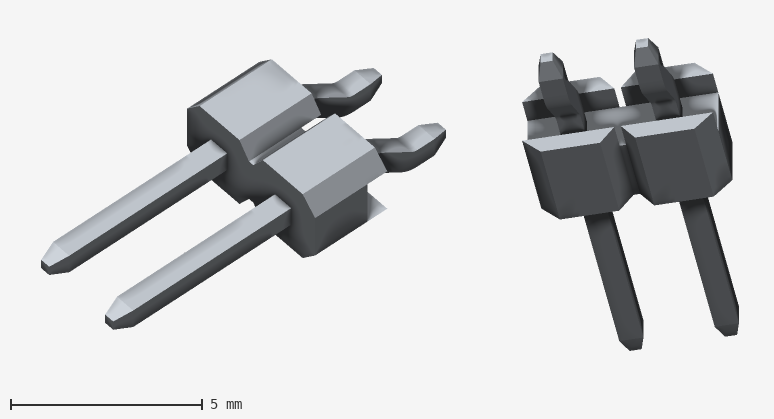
import cadquery as cq
import math

pin_count = 2
pitch = 2.54
body_width = pin_count * pitch
body_depth = 2.5
body_height = 2.5
corner_width = 0.5
flange_height = 0.52
notch_top_width = 0.93
notch_floor_width = 0.17

slot_depth = 0.69
slot_height = body_height - 2 * flange_height

pin_size = 0.64
tip_size = 0.32
front_tip_y = -6.01
front_tip_length = 0.55
pin_length = 11.5
rear_tip_y = front_tip_y + pin_length
rear_tip_length = 0.53
foot_drop = (body_height - pin_size) / 2
bend_start_y = 2.63
bend_radius = 0.65
bend_angle = math.radians(35)


def notch(x, side):
    """Trapezoidal groove between pins, at the top (side = 1) or bottom (side = -1)."""
    edge_z = side * body_height / 2
    floor_z = edge_z - side * flange_height
    return (
        cq.Workplane("XZ")
        .polyline([
            (x - notch_top_width / 2, edge_z),
            (x - notch_floor_width / 2, floor_z),
            (x + notch_floor_width / 2, floor_z),
            (x + notch_top_width / 2, edge_z),
        ])
        .close()
        .extrude(-body_depth)
    )


def end_bevel(end, side):
    """Triangular prism cut from an outer corner; end and side are 1 or -1."""
    end_x = end * body_width / 2
    edge_z = side * body_height / 2
    return (
        cq.Workplane("XZ")
        .polyline([
            (end_x, edge_z),
            (end_x - end * corner_width, edge_z),
            (end_x, edge_z - side * flange_height),
        ])
        .close()
        .extrude(-body_depth)
    )


def make_body():
    body = cq.Workplane("XY").box(body_width, body_depth, body_height)
    body = body.translate((0, body_depth / 2, 0))
    for side in (1, -1):
        for end in (1, -1):
            body = body.cut(end_bevel(end, side))
        for gap in range(1, pin_count):
            notch_x = gap * pitch - body_width / 2
            body = body.cut(notch(notch_x, side))
    slot = cq.Workplane("XY").box(body_width, slot_depth, slot_height)
    return body.cut(slot.translate((0, body_depth - slot_depth / 2, 0)))


def pin_path():
    """Centre line of a pin between its tips, with two equal opposite bends."""
    def arc_point(angle):
        return bend_radius * math.sin(angle), bend_radius * (1 - math.cos(angle))

    arc_run, arc_drop = arc_point(bend_angle)
    half_run, half_drop = arc_point(bend_angle / 2)
    slope_drop = foot_drop - 2 * arc_drop
    slope_run = slope_drop / math.tan(bend_angle)
    bend_end_y = bend_start_y + 2 * arc_run + slope_run
    return (
        cq.Workplane("YZ")
        .moveTo(front_tip_y + front_tip_length, 0)
        .lineTo(bend_start_y, 0)
        .threePointArc(
            (bend_start_y + half_run, -half_drop),
            (bend_start_y + arc_run, -arc_drop),
        )
        .lineTo(bend_end_y - arc_run, arc_drop - foot_drop)
        .threePointArc(
            (bend_end_y - half_run, half_drop - foot_drop),
            (bend_end_y, -foot_drop),
        )
        .lineTo(rear_tip_y - rear_tip_length, -foot_drop)
    )


def pin_tip(base_y, z, length):
    """Tapered tip; a positive length points toward +Y, a negative one toward -Y."""
    return (
        cq.Workplane("XZ", origin=(0, base_y, z))
        .rect(pin_size, pin_size)
        .workplane(offset=-length)
        .rect(tip_size, tip_size)
        .loft()
    )


def make_pin():
    shank_start_y = front_tip_y + front_tip_length
    shank = (
        cq.Workplane("XZ", origin=(0, shank_start_y, 0))
        .rect(pin_size, pin_size)
        .sweep(pin_path())
    )
    front_tip = pin_tip(shank_start_y, 0, -front_tip_length)
    rear_tip = pin_tip(rear_tip_y - rear_tip_length, -foot_drop, rear_tip_length)
    return shank.union(front_tip).union(rear_tip)


result = make_body()
pin = make_pin()
for index in range(pin_count):
    pin_x = (index + 0.5) * pitch - body_width / 2
    result = result.union(pin.translate((pin_x, 0, 0)))